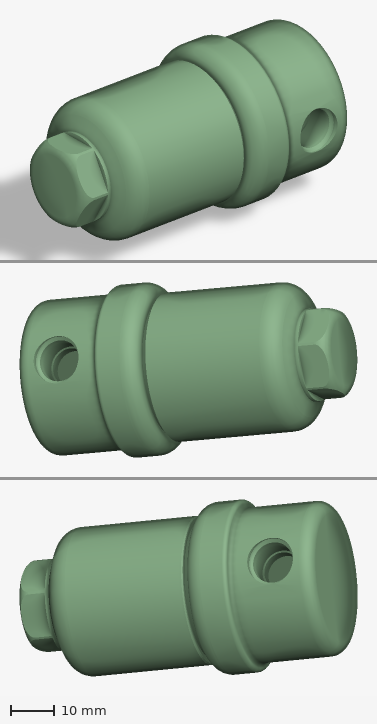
import cadquery as cq
import math

total_length = 74.05

head_length = 30.5
collar_radius = 20.0
collar_front_fillet = 4.0
step_height = 2.0
step_fillet = step_height / 2
cap_radius = collar_radius - step_height
cap_length = 19.0
cap_rear_fillet = 2.95

port_from_rear = 10.0
port_y = head_length - port_from_rear
spotface_radius = 5.55
spotface_depth = 1.3
thread_radius = 4.8
thread_depth = 8.9
drill_radius = 4.4
drill_depth = 11.85

neck_radius = 15.8
neck_length = 1.0
bowl_radius = 17.25
rim_chamfer = 0.3
wall_end = 29.55
shoulder_fillet = 4.95
cone_angle = math.radians(24)
washer_radius = 10.8

washer_end = 36.6
hex_flats = 19.0
hex_fillet = 2.95

bowl_length = total_length - head_length


def head_blank():
    step_end = head_length - cap_length
    step_start = step_end - 2 * step_fillet
    return (
        cq.Workplane("XY")
        .lineTo(collar_radius - collar_front_fillet, 0)
        .tangentArcPoint((collar_radius, collar_front_fillet), relative=False)
        .lineTo(collar_radius, step_start)
        .tangentArcPoint((collar_radius - step_fillet, step_start + step_fillet), relative=False)
        .tangentArcPoint((cap_radius, step_end), relative=False)
        .lineTo(cap_radius, head_length - cap_rear_fillet)
        .tangentArcPoint((cap_radius - cap_rear_fillet, head_length), relative=False)
        .lineTo(0, head_length)
        .close()
        .revolve(360, (0, 0), (0, 1))
    )


def port_cutter(side):
    """Stepped blind port entering along X; side is -1 or +1."""
    lead_in = spotface_radius - thread_radius
    cutter_outer = side * collar_radius
    spotface_floor = side * (cap_radius - spotface_depth)
    lead_in_floor = side * (cap_radius - spotface_depth - lead_in)
    thread_floor = side * (cap_radius - thread_depth)
    drill_floor = side * (cap_radius - drill_depth)
    return (
        cq.Workplane("XY")
        .polyline([
            (cutter_outer, port_y),
            (cutter_outer, port_y + spotface_radius),
            (spotface_floor, port_y + spotface_radius),
            (lead_in_floor, port_y + thread_radius),
            (thread_floor, port_y + thread_radius),
            (thread_floor, port_y + drill_radius),
            (drill_floor, port_y + drill_radius),
            (drill_floor, port_y),
        ])
        .close()
        .revolve(360, (0, port_y), (1, port_y))
    )


def make_head():
    head = head_blank()
    for side in (-1, 1):
        head = head.cut(port_cutter(side))
    return head


def bowl_shell():
    """Neck, wall, rounded shoulder, cone and washer face."""
    rim = -neck_length
    cone_start_radius = bowl_radius - shoulder_fillet * (1 - math.sin(cone_angle))
    cone_start = -wall_end - shoulder_fillet * math.cos(cone_angle)
    cone_end = cone_start - (cone_start_radius - washer_radius) * math.tan(cone_angle)
    return (
        cq.Workplane("XY")
        .lineTo(neck_radius, 0)
        .lineTo(neck_radius, rim)
        .lineTo(bowl_radius - rim_chamfer, rim)
        .lineTo(bowl_radius, rim - rim_chamfer)
        .lineTo(bowl_radius, -wall_end)
        .tangentArcPoint((cone_start_radius, cone_start), relative=False)
        .lineTo(washer_radius, cone_end)
        .lineTo(washer_radius, -washer_end)
        .lineTo(0, -washer_end)
        .close()
        .revolve(360, (0, 0), (0, 1))
    )


def hex_end():
    """Hexagon with two flats facing up and down, trimmed by a rounded cylinder."""
    hex_length = bowl_length - washer_end
    hex_corners = hex_flats / math.cos(math.pi / 6)
    start_plane = cq.Workplane("XZ", origin=(0, -washer_end, 0))
    cylinder = start_plane.circle(washer_radius).extrude(hex_length)
    rounded_cylinder = cylinder.faces("<Y").edges().fillet(hex_fillet)
    hexagon = start_plane.polygon(6, hex_corners).extrude(hex_length)
    return hexagon.intersect(rounded_cylinder)


def make_bowl():
    return bowl_shell().union(hex_end())


head = make_head()
bowl = make_bowl()

result = cq.Compound.makeCompound([head.solids().val(), bowl.solids().val()])